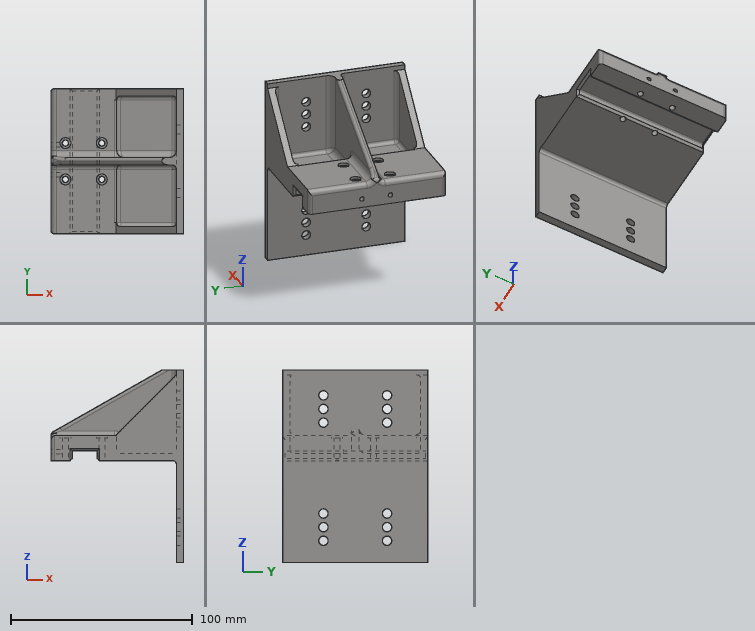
import cadquery as cq
import math

depth = 73.0
width = 80.0
height = 106.0
half_width = width / 2

plate_thickness = 4.0
plate_face_x = depth - plate_thickness
shelf_bottom_z = 56.0
shelf_top_z = 70.0
under_shelf_radius = 2.0
front_corner_radius = 2.0
front_edge_radius = 3.0

wall_thickness = 4.0
wall_face_y = half_width - wall_thickness
wall_start_x = 35.7
wall_top_z = shelf_top_z + plate_face_x - wall_start_x

rib_thickness = 4.0
rib_face_y = rib_thickness / 2
rib_angle = math.radians(29.6)
rib_flat_start_x = 61.1
rib_front_z = height - rib_flat_start_x * math.tan(rib_angle)
rib_crest_radius = 1.95
rib_root_radius = {1: 4.0, -1: 2.5}
rib_nose_setback = front_edge_radius * math.tan((math.pi / 2 - rib_angle) / 2)
rib_nose_z = rib_front_z - rib_nose_setback

pocket_front_x = 36.2
pocket_floor_z = 60.0
pocket_middle_x = (pocket_front_x + plate_face_x) / 2
pocket_middle_y = wall_face_y / 2
pocket_wall_radius = 2.25
pocket_floor_radius = 2.2
pocket_lip_radius = 1.2

slot_left_x = 11.8
slot_right_x = 25.4
slot_top_z = 61.4
slot_chamfer = 1.35
slot_corner_radius = 0.5

shelf_hole_diameter = 3.25
shelf_bore_diameter = 6.0
shelf_bore_depth = 1.5
shelf_hole_xs = (8.0, 28.0)
shelf_hole_ys = (-10.0, 10.0)
plate_hole_diameter = 5.0
plate_hole_ys = (-17.5, 17.5)
plate_hole_pitch = 7.5
plate_hole_lowest_zs = (12.0, 77.0)
plate_holes_per_row = 3
front_hole_diameter = 2.5
front_hole_ys = (-7.5, 9.1)
front_hole_z = 61.0
front_hole_depth = 6.0


def near(body, *points):
    """Edges of the body closest to the given points."""
    edges = [body.edges(cq.selectors.NearestToPointSelector(point)).val() for point in points]
    return body.newObject(edges)


def side_profile(points):
    """Extrude a closed XZ outline over the full width of the part."""
    return cq.Workplane("XZ").polyline(points).close().extrude(half_width, both=True)


def box(x_range, y_range, z_range):
    """Axis-aligned box between two limits on each axis."""
    ranges = (x_range, y_range, z_range)
    sizes = [max(limits) - min(limits) for limits in ranges]
    corner = tuple(min(limits) for limits in ranges)
    return cq.Workplane("XY").box(*sizes, centered=False).translate(corner)


def bracket():
    """Plate, shelf and 45 degree side walls as one full-width profile."""
    body = side_profile(
        [
            (0, shelf_bottom_z),
            (plate_face_x, shelf_bottom_z),
            (plate_face_x, 0),
            (depth, 0),
            (depth, height),
            (plate_face_x, height),
            (plate_face_x, wall_top_z),
            (wall_start_x, shelf_top_z),
            (0, shelf_top_z),
        ]
    )
    return near(body, (plate_face_x, 0, shelf_bottom_z)).fillet(under_shelf_radius)


def cut_pocket(body, side):
    """Pocket between the rib and one side wall, with a rounded lip; side is +1 or -1 along Y."""
    pocket = box(
        (pocket_front_x, plate_face_x),
        (side * rib_face_y, side * wall_face_y),
        (pocket_floor_z, height),
    )
    outer_edges = ">Y" if side > 0 else "<Y"
    pocket = pocket.edges("|Z and <X").edges(outer_edges).fillet(pocket_wall_radius)
    bend = pocket_lip_radius * math.sqrt(0.5)
    lip_centre_x = pocket_front_x - pocket_lip_radius
    lip_centre_z = shelf_top_z - pocket_lip_radius
    lip = (
        cq.Workplane("XZ")
        .moveTo(lip_centre_x, height)
        .lineTo(lip_centre_x, shelf_top_z)
        .threePointArc((lip_centre_x + bend, lip_centre_z + bend), (pocket_front_x, lip_centre_z))
        .lineTo(pocket_front_x, height)
        .close()
        .extrude(-side * (wall_face_y - pocket_wall_radius - rib_face_y))
        .translate((0, side * rib_face_y, 0))
    )
    return body.cut(pocket).cut(lip)


def add_rib(body):
    """Full-height rib whose edges are rounded before its top is sloped."""
    rib = box((0, depth), (-rib_face_y, rib_face_y), (shelf_bottom_z, height))
    return body.union(rib)


def round_rib_root(body, side):
    """Fillet the rib to the shelf, pocket front, pocket floor and plate on one side."""
    y = side * rib_face_y
    points = [
        (pocket_front_x / 2, y, shelf_top_z),
        (pocket_front_x, y, (shelf_top_z + pocket_floor_z) / 2),
        (pocket_middle_x, y, pocket_floor_z),
        (plate_face_x, y, (height + pocket_floor_z) / 2),
    ]
    return near(body, *points).fillet(rib_root_radius[side])


def slope_rib_top(body):
    """Cut the rib's sloping top and round both of its long edges."""
    body = body.cut(
        side_profile([(0, rib_front_z), (rib_flat_start_x, height), (0, height)])
    )
    middle_x = rib_flat_start_x / 2
    middle_z = (rib_front_z + height) / 2
    points = [(middle_x, y, middle_z) for y in (-rib_face_y, rib_face_y)]
    return near(body, *points).fillet(rib_crest_radius)


def round_pocket_floor(body, side):
    """Fillet the pocket floor to its front and side walls, then the side wall to the plate."""
    points = [
        (pocket_front_x, side * pocket_middle_y, pocket_floor_z),
        (pocket_middle_x, side * wall_face_y, pocket_floor_z),
    ]
    body = near(body, *points).fillet(pocket_floor_radius)
    plate_corner = (plate_face_x, side * wall_face_y, (pocket_floor_z + wall_top_z) / 2)
    return near(body, plate_corner).fillet(pocket_wall_radius)


def shelf_edge_cutter(side):
    """Waste outside the rounded front edge of the shelf, from the rib root to the side."""
    root_y = rib_face_y + rib_root_radius[side]
    rounded = (
        cq.Workplane("XZ")
        .center(front_edge_radius, shelf_top_z - front_edge_radius)
        .circle(front_edge_radius)
        .extrude(-side * (half_width - root_y))
        .translate((0, side * root_y, 0))
    )
    corner = box(
        (0, front_edge_radius),
        (side * root_y, side * half_width),
        (shelf_top_z - front_edge_radius, shelf_top_z),
    )
    return corner.cut(rounded)


def root_edge_cutter(side):
    """Waste outside the rounded front end of a rib root fillet, swept about the fillet's axis."""
    radius = rib_root_radius[side]
    axis_z = shelf_top_z + radius
    sweep = math.degrees(math.acos((axis_z - rib_nose_z) / (radius + front_edge_radius)))
    bend = front_edge_radius * (1 - math.sqrt(0.5))
    return (
        cq.Workplane("XZ")
        .moveTo(0, shelf_top_z - front_edge_radius)
        .lineTo(0, shelf_top_z)
        .lineTo(front_edge_radius, shelf_top_z)
        .threePointArc((bend, shelf_top_z - bend), (0, shelf_top_z - front_edge_radius))
        .close()
        .revolve(sweep, (0, axis_z, 0), (-side, axis_z, 0))
        .translate((0, side * (rib_face_y + radius), 0))
    )


def rib_nose_cutter():
    """Waste outside the rounded front end of the rib's sloping top."""
    crest_x = rib_nose_setback * math.cos(rib_angle)
    crest_z = rib_front_z + rib_nose_setback * math.sin(rib_angle)
    bisector = (math.pi / 2 - rib_angle) / 2
    arc_x = front_edge_radius * (1 - math.cos(bisector))
    arc_z = rib_nose_z + front_edge_radius * math.sin(bisector)
    reach = rib_face_y + max(rib_root_radius.values())
    return (
        cq.Workplane("XZ")
        .moveTo(0, rib_nose_z)
        .lineTo(0, crest_z)
        .lineTo(crest_x, crest_z)
        .threePointArc((arc_x, arc_z), (0, rib_nose_z))
        .close()
        .extrude(reach, both=True)
    )


def round_front(body):
    """Round the front top edge along shelf, rib roots and rib, after the upright corners."""
    body = body.edges("|Z and <X").fillet(front_corner_radius)
    for side in (-1, 1):
        body = body.cut(root_edge_cutter(side))
        body = body.cut(shelf_edge_cutter(side))
    return body.cut(rib_nose_cutter())


def cut_slot(body):
    """Cross slot under the shelf with chamfered mouth and flared ends."""
    slot = box((slot_left_x, slot_right_x), (-half_width, half_width), (shelf_bottom_z, slot_top_z))
    slot = slot.edges("|Y and >Z").fillet(slot_corner_radius)
    mouth = side_profile(
        [
            (slot_left_x - slot_chamfer, shelf_bottom_z),
            (slot_left_x, shelf_bottom_z + slot_chamfer),
            (slot_right_x, shelf_bottom_z + slot_chamfer),
            (slot_right_x + slot_chamfer, shelf_bottom_z),
        ]
    )
    body = body.cut(slot).cut(mouth)
    flare_width = slot_right_x - slot_left_x + 2 * slot_chamfer
    flare_height = slot_top_z - shelf_bottom_z + slot_chamfer
    flare = (
        cq.Workplane("XZ", origin=((slot_left_x + slot_right_x) / 2, -half_width, shelf_bottom_z))
        .rect(flare_width, 2 * flare_height)
        .extrude(-slot_chamfer, taper=45)
    )
    below = box((0, depth), (-half_width, half_width), (0, shelf_bottom_z))
    flare = flare.cut(below)
    return body.cut(flare).cut(flare.mirror("XZ"))


def drill(body):
    """Counterbored shelf holes, plate hole rows and blind front holes."""
    shelf_points = [(x, y) for x in shelf_hole_xs for y in shelf_hole_ys]
    body = body.cut(
        cq.Workplane("XY", origin=(0, 0, shelf_bottom_z))
        .pushPoints(shelf_points)
        .circle(shelf_hole_diameter / 2)
        .extrude(shelf_top_z - shelf_bottom_z)
    )
    body = body.cut(
        cq.Workplane("XY", origin=(0, 0, shelf_top_z))
        .pushPoints(shelf_points)
        .circle(shelf_bore_diameter / 2)
        .extrude(-shelf_bore_depth)
    )
    plate_points = [
        (y, lowest_z + i * plate_hole_pitch)
        for y in plate_hole_ys
        for lowest_z in plate_hole_lowest_zs
        for i in range(plate_holes_per_row)
    ]
    body = body.cut(
        cq.Workplane("YZ", origin=(plate_face_x, 0, 0))
        .pushPoints(plate_points)
        .circle(plate_hole_diameter / 2)
        .extrude(plate_thickness)
    )
    return body.cut(
        cq.Workplane("YZ")
        .pushPoints([(y, front_hole_z) for y in front_hole_ys])
        .circle(front_hole_diameter / 2)
        .extrude(front_hole_depth)
    )


result = bracket()
for pocket_side in (-1, 1):
    result = cut_pocket(result, pocket_side)
result = add_rib(result)
for rib_side in (-1, 1):
    result = round_rib_root(result, rib_side)
result = slope_rib_top(result)
for pocket_side in (-1, 1):
    result = round_pocket_floor(result, pocket_side)
result = round_front(result)
result = cut_slot(result)
result = drill(result)